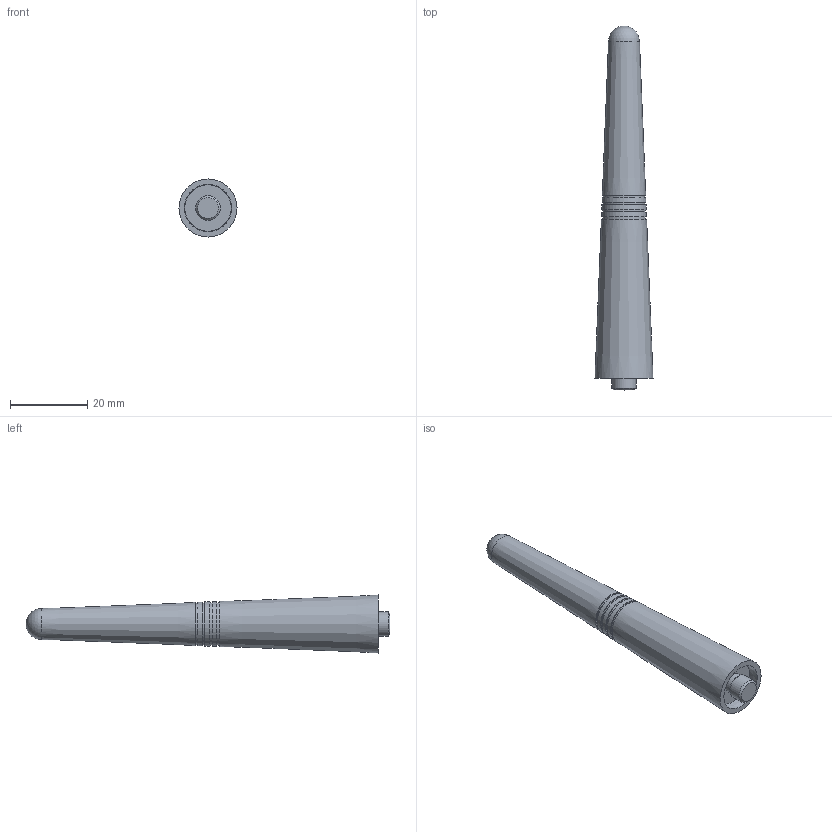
import cadquery as cq

total_length = 94.0
stud_projection = 3.0
sleeve_length = total_length - stud_projection
rim_radius = 7.5
dome_radius = 4.0
dome_base_y = sleeve_length - dome_radius

groove_count = 4
groove_width = 0.6
groove_pitch = 1.88
groove_depth = 0.3
groove_middle_y = 44.2

socket_mouth_radius = 6.1
socket_floor_radius = 6.0
socket_depth = 2.75

stud_radius = 3.15
stud_chamfer = 0.45
stud_back_y = 1.2
neck_radius = stud_radius - stud_chamfer


def sleeve_radius(y):
    """Radius of the tapered sleeve at a distance y from the rim."""
    return rim_radius + (dome_radius - rim_radius) * y / dome_base_y


def disc(radius, start_y, end_y):
    """Cylinder on the Y axis between two Y positions."""
    base = cq.Plane(origin=(0, start_y, 0), xDir=(-1, 0, 0), normal=(0, 1, 0))
    return cq.Workplane(base).circle(radius).extrude(end_y - start_y)


def make_sleeve():
    """Straight taper from the rim to the dome, closed by a hemisphere."""
    arc_offset = dome_radius * 0.5 ** 0.5
    profile = (
        cq.Workplane("XY")
        .lineTo(-rim_radius, 0)
        .lineTo(-dome_radius, dome_base_y)
        .threePointArc((-arc_offset, dome_base_y + arc_offset), (0, sleeve_length))
        .close()
    )
    return profile.revolve(360, (0, 0, 0), (0, 1, 0))


def make_socket():
    """Slightly tapered recess that narrows towards its floor."""
    profile = (
        cq.Workplane("XY")
        .lineTo(-socket_mouth_radius, 0)
        .lineTo(-socket_floor_radius, socket_depth)
        .lineTo(0, socket_depth)
        .close()
    )
    return profile.revolve(360, (0, 0, 0), (0, 1, 0))


def make_groove(middle_y):
    """Ring that cuts one square groove around the sleeve."""
    start_y = middle_y - groove_width / 2
    end_y = middle_y + groove_width / 2
    floor_radius = sleeve_radius(middle_y) - groove_depth
    return disc(rim_radius, start_y, end_y).cut(disc(floor_radius, start_y, end_y))


def make_stud():
    """Stud chamfered at both ends, its inner chamfer running down to the thinner neck."""
    head = disc(stud_radius, -stud_projection, stud_back_y).faces("<Y or >Y").chamfer(stud_chamfer)
    return head.union(disc(neck_radius, stud_back_y, socket_depth))


result = make_sleeve().cut(make_socket())
first_groove_y = groove_middle_y - groove_pitch * (groove_count - 1) / 2
for index in range(groove_count):
    result = result.cut(make_groove(first_groove_y + index * groove_pitch))
result = result.union(make_stud())